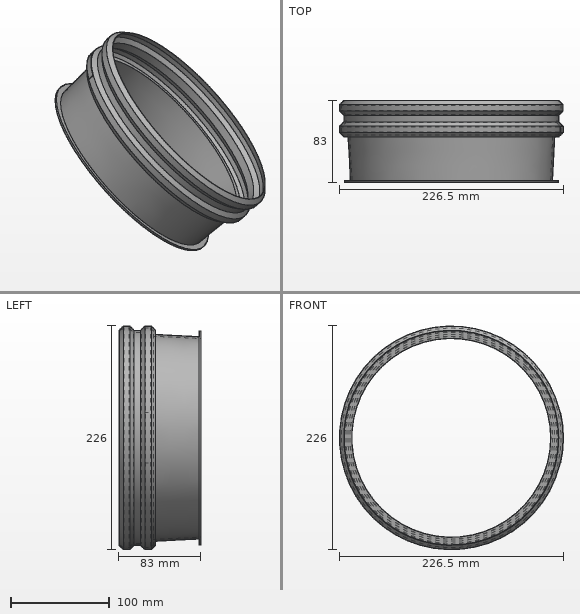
import cadquery as cq
import math

total_length = 83.0
wall = 2.0

flange_diameter = 216.5
sleeve_front_diameter = 204.8
sleeve_rear_diameter = 209.3

bead_diameter = 226.0
neck_diameter = 217.5
bead_land = 6.5
neck_land = 6.5
rim_thickness = 0.5

pad_height = 0.5
pad_length = 6.0
pad_angle = 26.0
pad_embed = 0.7

flange_radius = flange_diameter / 2
sleeve_front_radius = sleeve_front_diameter / 2
sleeve_rear_radius = sleeve_rear_diameter / 2
bead_radius = bead_diameter / 2
neck_radius = neck_diameter / 2
inner_bead_radius = bead_radius - wall
inner_neck_radius = neck_radius - wall

bead_flank = bead_radius - neck_radius
bead_length = bead_land + 2 * bead_flank
rear_bead_start = total_length - bead_length
front_bead_start = rear_bead_start - neck_land - bead_length

corner_shift = wall * math.tan(math.radians(45 / 2))


def bead_outside(start):
    """Outer (radius, y) corners of a bead, front to rear."""
    return [
        (neck_radius, start),
        (bead_radius, start + bead_flank),
        (bead_radius, start + bead_flank + bead_land),
        (neck_radius, start + bead_length),
    ]


def bead_inside_land(start):
    """Inner (radius, y) corners of the bead's cylindrical land, front to rear."""
    land_start = start + bead_flank
    return [
        (inner_bead_radius, land_start + corner_shift),
        (inner_bead_radius, land_start + bead_land - corner_shift),
    ]


def make_collar():
    """Flange, sleeve and beads as one revolved wall section."""
    shoulder_inside = front_bead_start + wall
    outside = [
        (flange_radius, 0),
        (flange_radius, wall),
        (sleeve_front_radius, wall),
        (sleeve_rear_radius, front_bead_start),
        *bead_outside(front_bead_start),
        *bead_outside(rear_bead_start),
    ]
    inside = [
        (sleeve_front_radius - wall, 0),
        (sleeve_rear_radius - wall, shoulder_inside),
        (neck_radius - corner_shift, shoulder_inside),
        *bead_inside_land(front_bead_start),
        (inner_neck_radius, front_bead_start + bead_length - corner_shift),
        (inner_neck_radius, rear_bead_start + corner_shift),
        *bead_inside_land(rear_bead_start),
        (neck_radius - rim_thickness, total_length),
    ]
    section = cq.Workplane("XY").polyline(outside + inside[::-1]).close()
    return section.revolve(360, (0, 0, 0), (0, 1, 0))


def make_label_pad():
    """Curved pad on the front bead's land, centred on +X."""
    pad_depth = pad_height + pad_embed
    pad_center_radius = bead_radius + pad_height - pad_depth / 2
    pad_center_y = front_bead_start + bead_length / 2
    pad = (
        cq.Workplane("XY")
        .center(pad_center_radius, pad_center_y)
        .rect(pad_depth, pad_length)
        .revolve(pad_angle, (-pad_center_radius, 0, 0), (-pad_center_radius, 1, 0))
    )
    return pad.rotate((0, 0, 0), (0, 1, 0), -pad_angle / 2)


result = make_collar().union(make_label_pad())